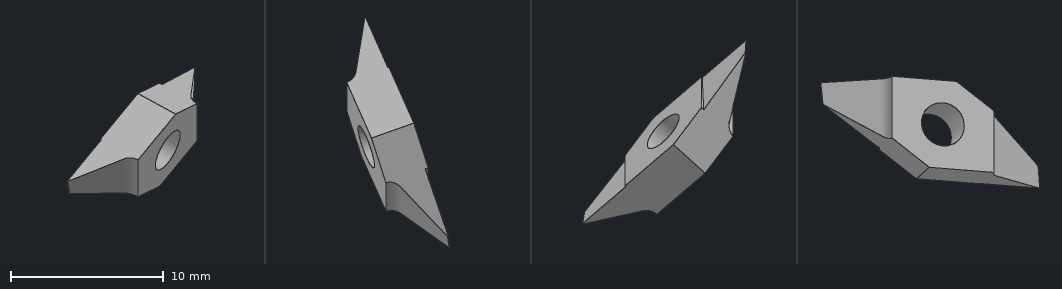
import cadquery as cq
import math

thickness = 3.0
length = 15.0
height = 6.0

hole_diameter = 2.91
body_length = 6.99
corner_y = 0.93
tip_height = 1.5
tip_clearance = 5.0
flank_angle = 60.0
root_radius = 0.98
face_step = 0.08
face_relief = 2.0
cut_margin = 0.75

half_thickness = thickness / 2
half_length = length / 2
half_height = height / 2
half_body = body_length / 2


def make_blank():
    """Six-sided plate, seen along X, with a central through hole."""
    tip_setback = tip_height * math.tan(math.radians(tip_clearance))
    half_outline = [
        (corner_y, half_height),
        (-half_length, half_height),
        (-half_length + tip_setback, half_height - tip_height),
    ]
    outline = half_outline + [(-y, -z) for y, z in half_outline]
    plate = cq.Workplane("YZ").polyline(outline).close().extrude(half_thickness, both=True)
    hole = cq.Workplane("YZ").circle(hole_diameter / 2).extrude(half_thickness, both=True)
    return plate.cut(hole)


def make_flank_cutter():
    """Material beside the -Y tip: straight flank with a rounded root."""
    angle = math.radians(flank_angle)
    arc_center_y = -half_body - root_radius
    tangent_x = half_thickness - root_radius * math.sin(angle)
    tangent_y = arc_center_y + root_radius * math.cos(angle)
    arc_mid_x = half_thickness - root_radius * math.sin(angle / 2)
    arc_mid_y = arc_center_y + root_radius * math.cos(angle / 2)
    outer_y = -half_length - cut_margin
    outer_x = tangent_x - (tangent_y - outer_y) / math.tan(angle)
    return (
        cq.Workplane("XY")
        .moveTo(half_thickness, -half_body)
        .threePointArc((arc_mid_x, arc_mid_y), (tangent_x, tangent_y))
        .lineTo(outer_x, outer_y)
        .lineTo(half_thickness + cut_margin, outer_y)
        .lineTo(half_thickness + cut_margin, -half_body)
        .close()
        .extrude(half_height + cut_margin, both=True)
    )


def make_face_cutter():
    """Leaning step on the -X face of the -Y tip, deeper towards -Z."""
    upper_x = -half_thickness + face_step
    lower_x = upper_x + height * math.tan(math.radians(face_relief))
    outer_x = -half_thickness - cut_margin
    section = [
        (outer_x, half_height),
        (upper_x, half_height),
        (lower_x, -half_height),
        (outer_x, -half_height),
    ]
    return (
        cq.Workplane("XZ", origin=(0, -half_body, 0))
        .polyline(section)
        .close()
        .extrude(half_length - half_body + cut_margin)
    )


result = make_blank()
for cutter in (make_flank_cutter(), make_face_cutter()):
    opposite_cutter = cutter.rotate((0, 0, 0), (1, 0, 0), 180)
    result = result.cut(cutter).cut(opposite_cutter)